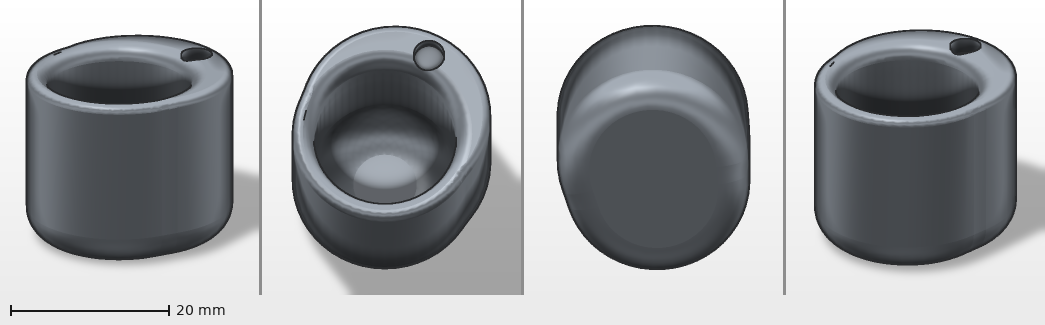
import cadquery as cq
import math

width = 24.07
length = 26.48
height = 22.0

back_radius = width / 2
front_radius = 11.7
side_blend_radius = 43.95
back_center_y = length / 2 - back_radius
front_center_y = front_radius - length / 2

bottom_fillet = 4.0
top_fillet = 1.0

bore_radius = 9.0
bowl_floor_fillet = 5.0
lip_fillet = 2.0
floor_thickness = 2.0

hole_diameter = 3.9
hole_depth = 2.0
hole_center_y = front_center_y + front_radius


def make_outline():
    """Two end arcs joined on each side by a tangent, concave arc."""
    spacing = back_center_y - front_center_y
    back_reach = back_radius + side_blend_radius
    front_reach = front_radius + side_blend_radius
    drop = (back_reach**2 - front_reach**2 + spacing**2) / (2 * spacing)
    blend_x = math.sqrt(back_reach**2 - drop**2)
    blend_y = back_center_y - drop
    back_angle = math.asin(drop / back_reach)
    front_angle = math.asin((drop - spacing) / front_reach)

    back_x = back_radius * math.cos(back_angle)
    back_y = back_center_y - back_radius * math.sin(back_angle)
    front_x = front_radius * math.cos(front_angle)
    front_y = front_center_y - front_radius * math.sin(front_angle)
    middle_angle = (back_angle + front_angle) / 2
    side_x = blend_x - side_blend_radius * math.cos(middle_angle)
    side_y = blend_y + side_blend_radius * math.sin(middle_angle)

    return (
        cq.Workplane("XY")
        .moveTo(back_x, back_y)
        .threePointArc((0, length / 2), (-back_x, back_y))
        .threePointArc((-side_x, side_y), (-front_x, front_y))
        .threePointArc((0, -length / 2), (front_x, front_y))
        .threePointArc((side_x, side_y), (back_x, back_y))
        .close()
    )


def make_bowl():
    """Cutter for the cylindrical cavity with a rounded floor edge."""
    return (
        cq.Workplane("XY", origin=(0, front_center_y, floor_thickness))
        .circle(bore_radius)
        .extrude(height - floor_thickness)
        .faces("<Z")
        .edges()
        .fillet(bowl_floor_fillet)
    )


def make_hole():
    return (
        cq.Workplane("XY", origin=(0, hole_center_y, height - hole_depth))
        .circle(hole_diameter / 2)
        .extrude(hole_depth)
    )


body = make_outline().extrude(height)
body = body.faces("<Z").edges().fillet(bottom_fillet)
body = body.cut(make_bowl())

bore_rim = cq.selectors.RadiusNthSelector(0)
body = body.faces(">Z").edges(bore_rim).fillet(lip_fillet)
outer_rim = cq.selectors.InverseSelector(bore_rim)
body = body.faces(">Z").edges(outer_rim).fillet(top_fillet)

result = body.cut(make_hole())